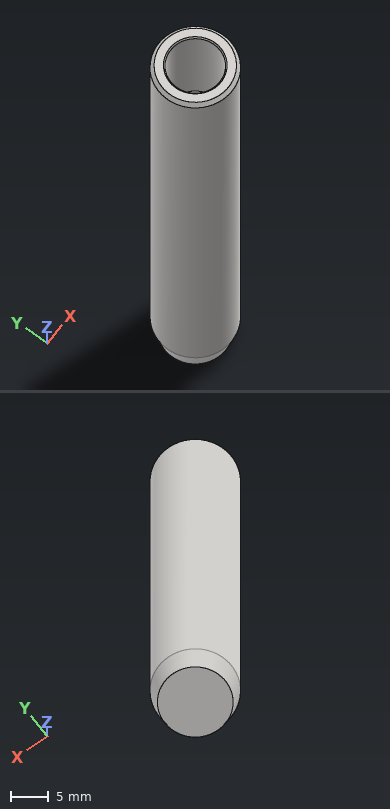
import cadquery as cq
import math

length = 80.0
diameter = 12.0
taper_height = 4.0
tip_diameter = 10.0
rim_chamfer = 0.6
hole_diameter = 8.0
hole_depth = 16.0
hole_chamfer = 0.2
drill_point_angle = 118.0

radius = diameter / 2
tip_radius = tip_diameter / 2
hole_radius = hole_diameter / 2
drill_point_height = hole_radius / math.tan(math.radians(drill_point_angle / 2))
hole_floor = length - hole_depth

half_section = (
    cq.Workplane("XZ")
    .moveTo(0, 0)
    .lineTo(tip_radius, 0)
    .lineTo(radius, taper_height)
    .lineTo(radius, length - rim_chamfer)
    .lineTo(radius - rim_chamfer, length)
    .lineTo(hole_radius + hole_chamfer, length)
    .lineTo(hole_radius, length - hole_chamfer)
    .lineTo(hole_radius, hole_floor)
    .lineTo(0, hole_floor - drill_point_height)
    .close()
)

result = half_section.revolve(360, (0, 0, 0), (0, 1, 0))